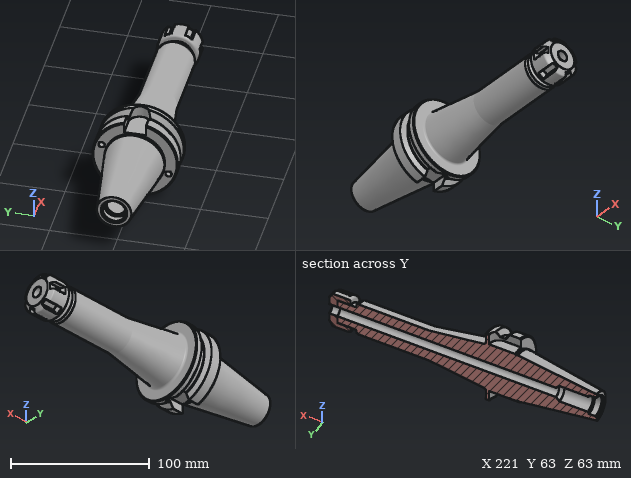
import cadquery as cq
import math

QUARTER_ARC_MIDDLE = 1 - math.sqrt(0.5)

taper_large_radius = 22.3
taper_length = 65.5
taper_rate = 7 / 24
taper_small_radius = taper_large_radius - taper_length * taper_rate / 2
relief_radius = 22.0

flange_diameter = 63.0
flange_radius = flange_diameter / 2
flange_start = 67.5
flange_end = 92.0
flange_edge_chamfer = 0.7
groove_floor_radius = 26.5
groove_floor_start = 79.8
groove_floor_end = 84.0
groove_front_flank_length = (flange_radius - groove_floor_radius) * math.tan(math.radians(30))
groove_rear_flank_start = 77.0
groove_rear_step_radius = 27.2

drive_slot_width = 16.1
drive_slot_floor = 22.5
drive_slot_end = 89.0

pin_hole_radius = 2.2
pin_hole_circle_radius = 26.3
pin_hole_angle = 20.0
pin_hole_depth = 6.6
pin_hole_tip_length = pin_hole_radius * math.tan(math.radians(30))

nose_fillet_length = 2.0
nose_cone_start = flange_end + nose_fillet_length
nose_cone_radius = 21.2
shank_radius = 14.5
shank_start = 139.2
shank_end = 198.7
shank_chamfer_length = 2.2
shank_chamfer_height = 0.9
neck_radius = 11.0
neck_fillet = 1.0
neck_end = 214.4

pilot_radius = 8.6
pilot_chamfer = 1.0
pilot_depth = 6.6
thread_radius = 7.0
thread_mouth_chamfer = 0.9
thread_depth = 31.0
bore_radius = 4.2
drill_cone_length = thread_radius - bore_radius

nut_radius = 15.7
nut_start = 203.0
nut_end = 221.0
nut_rear_fillet = 2.0
nut_cone_start = 218.3
nut_cone_fillet = 1.3
edge_search_margin = 0.2
nut_face_radius = 11.0
wrench_slot_count = 6
wrench_slot_rim_width = 6.0
wrench_slot_floor_width = 4.6
wrench_slot_floor = 12.4
wrench_slot_start = 206.2
side_slot_start = 207.5
wrench_ramp_length = 2.7


def revolve_about_x(outline):
    """Turn a closed outline, drawn as (X, radius), into a solid of revolution about X."""
    return outline.close().revolve(360, (0, 0, 0), (1, 0, 0))


def holder_blank():
    nose_arc_middle = nose_fillet_length * QUARTER_ARC_MIDDLE
    neck_arc_middle = neck_fillet * QUARTER_ARC_MIDDLE
    outline = (
        cq.Workplane("XY")
        .lineTo(0, taper_small_radius)
        .lineTo(taper_length, taper_large_radius)
        .lineTo(taper_length, relief_radius)
        .lineTo(flange_start, relief_radius)
        .lineTo(flange_start, flange_radius - flange_edge_chamfer)
        .lineTo(flange_start + flange_edge_chamfer, flange_radius)
        .lineTo(groove_rear_flank_start, flange_radius)
        .lineTo(groove_floor_start, groove_rear_step_radius)
        .lineTo(groove_floor_start, groove_floor_radius)
        .lineTo(groove_floor_end, groove_floor_radius)
        .lineTo(groove_floor_end + groove_front_flank_length, flange_radius)
        .lineTo(flange_end - flange_edge_chamfer, flange_radius)
        .lineTo(flange_end, flange_radius - flange_edge_chamfer)
        .lineTo(flange_end, nose_cone_radius + nose_fillet_length)
        .threePointArc(
            (flange_end + nose_arc_middle, nose_cone_radius + nose_arc_middle),
            (nose_cone_start, nose_cone_radius),
        )
        .lineTo(shank_start, shank_radius)
        .lineTo(shank_end - shank_chamfer_length, shank_radius)
        .lineTo(shank_end, shank_radius - shank_chamfer_height)
        .lineTo(shank_end, neck_radius + neck_fillet)
        .threePointArc(
            (shank_end + neck_arc_middle, neck_radius + neck_arc_middle),
            (shank_end + neck_fillet, neck_radius),
        )
        .lineTo(neck_end, neck_radius)
        .lineTo(neck_end, 0)
    )
    return revolve_about_x(outline)


def axial_bore():
    outline = (
        cq.Workplane("XY")
        .lineTo(0, pilot_radius + pilot_chamfer)
        .lineTo(pilot_chamfer, pilot_radius)
        .lineTo(pilot_depth, pilot_radius)
        .lineTo(pilot_depth, thread_radius + thread_mouth_chamfer)
        .lineTo(pilot_depth + thread_mouth_chamfer, thread_radius)
        .lineTo(thread_depth, thread_radius)
        .lineTo(thread_depth + drill_cone_length, bore_radius)
        .lineTo(nut_end, bore_radius)
        .lineTo(nut_end, 0)
    )
    return revolve_about_x(outline)


def drive_slot(side):
    """Round-ended slot cutter above the slot floor; side is +1 for +Z, -1 for -Z."""
    end_radius = drive_slot_width / 2
    straight_end = drive_slot_end - end_radius
    return (
        cq.Workplane("XY")
        .workplane(offset=side * drive_slot_floor)
        .moveTo(taper_length, -end_radius)
        .lineTo(straight_end, -end_radius)
        .threePointArc((drive_slot_end, 0), (straight_end, end_radius))
        .lineTo(taper_length, end_radius)
        .close()
        .extrude(side * flange_radius)
    )


def pin_hole(angle):
    hole_y = pin_hole_circle_radius * math.cos(math.radians(angle))
    hole_z = pin_hole_circle_radius * math.sin(math.radians(angle))
    outline = (
        cq.Workplane("XY", origin=(flange_start, hole_y, hole_z))
        .lineTo(0, pin_hole_radius)
        .lineTo(pin_hole_depth, pin_hole_radius)
        .lineTo(pin_hole_depth + pin_hole_tip_length, 0)
    )
    return revolve_about_x(outline)


def make_holder():
    holder = holder_blank().cut(axial_bore())
    for side in (1, -1):
        holder = holder.cut(drive_slot(side))
    for angle in (pin_hole_angle, pin_hole_angle + 180):
        holder = holder.cut(pin_hole(angle))
    return holder


def nut_blank():
    arc_middle = nut_rear_fillet * QUARTER_ARC_MIDDLE
    outline = (
        cq.Workplane("XY")
        .moveTo(nut_start, neck_radius)
        .lineTo(nut_start, nut_radius - nut_rear_fillet)
        .threePointArc(
            (nut_start + arc_middle, nut_radius - arc_middle),
            (nut_start + nut_rear_fillet, nut_radius),
        )
        .lineTo(nut_cone_start, nut_radius)
        .lineTo(nut_end, nut_face_radius)
        .lineTo(nut_end, bore_radius)
        .lineTo(neck_end, bore_radius)
        .lineTo(neck_end, neck_radius)
    )
    cone_edge = cq.selectors.BoxSelector(
        (nut_cone_start - edge_search_margin, -nut_radius, -nut_radius),
        (nut_cone_start + edge_search_margin, nut_radius, nut_radius),
    )
    return revolve_about_x(outline).edges(cone_edge).fillet(nut_cone_fillet)


def wrench_slot(angle, start):
    """Wrench slot cutter with a flat floor, drafted walls and a ramped rear end."""
    ramp_outline = (
        cq.Workplane("XY")
        .moveTo(start, nut_radius)
        .lineTo(start + wrench_ramp_length, wrench_slot_floor)
        .lineTo(nut_end, wrench_slot_floor)
        .lineTo(nut_end, nut_radius)
        .close()
        .extrude(wrench_slot_rim_width, both=True)
    )
    drafted_walls = (
        cq.Workplane("YZ", origin=(nut_start, 0, 0))
        .moveTo(wrench_slot_floor, -wrench_slot_floor_width / 2)
        .lineTo(nut_radius, -wrench_slot_rim_width / 2)
        .lineTo(nut_radius, wrench_slot_rim_width / 2)
        .lineTo(wrench_slot_floor, wrench_slot_floor_width / 2)
        .close()
        .extrude(nut_end - nut_start)
    )
    return ramp_outline.intersect(drafted_walls).rotate((0, 0, 0), (1, 0, 0), angle)


def make_nut():
    nut = nut_blank()
    for index in range(wrench_slot_count):
        faces_side = index % (wrench_slot_count // 2) == 0
        start = side_slot_start if faces_side else wrench_slot_start
        nut = nut.cut(wrench_slot(index * 360 / wrench_slot_count, start))
    return nut


holder = make_holder()
nut = make_nut()

result = cq.Compound.makeCompound([holder.val(), nut.val()])